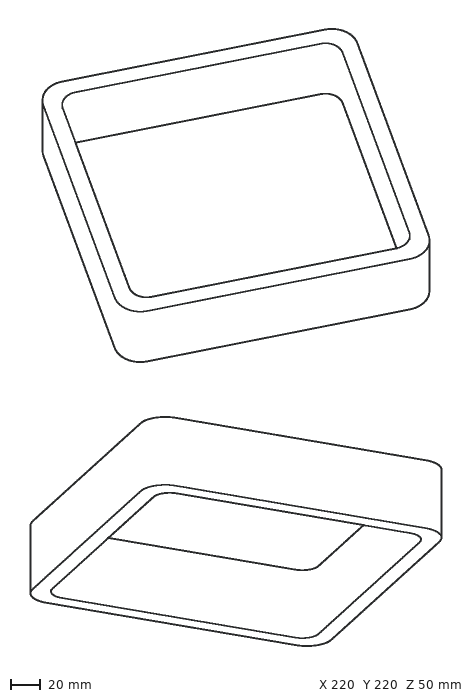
import cadquery as cq

outer_side = 220.0
wall_thickness = 12.0
height = 50.0
outer_corner_radius = 18.0
inner_corner_radius = 12.0

inner_side = outer_side - 2 * wall_thickness


def rounded_square_block(side, corner_radius):
    """Square block standing on the XY plane, with its vertical edges rounded."""
    block = cq.Workplane("XY").box(side, side, height, centered=(True, True, False))
    return block.edges("|Z").fillet(corner_radius)


outer_block = rounded_square_block(outer_side, outer_corner_radius)
opening = rounded_square_block(inner_side, inner_corner_radius)
result = outer_block.cut(opening)